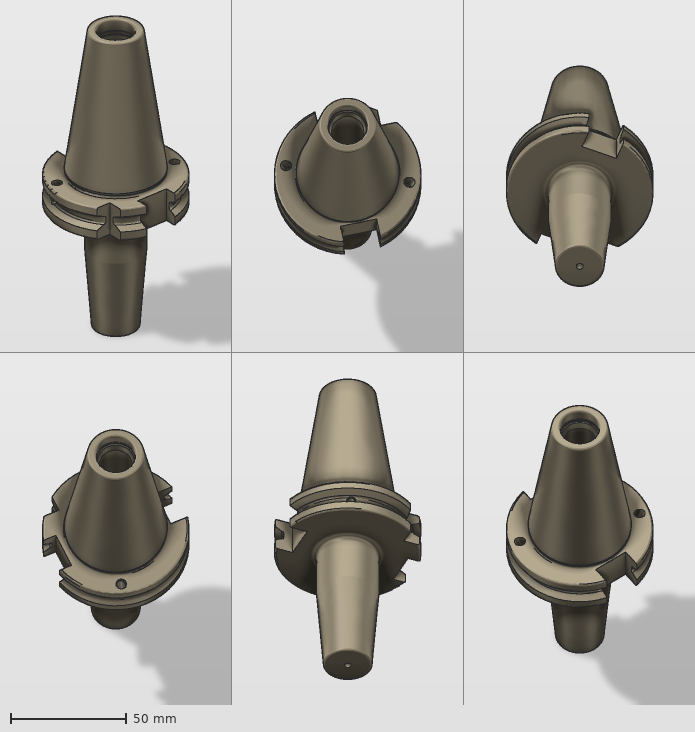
import cadquery as cq
import math


gauge_radius = 22.3
taper_slope = 7 / 48
top_z = 68.4
taper_end_z = -1.0
top_radius = gauge_radius - taper_slope * top_z
taper_end_radius = gauge_radius - taper_slope * taper_end_z
rim_fillet = 1.0

neck_radius = 22.3
relief_top_z = -2.1
relief_radius = 22.0
relief_fillet = 0.7

flange_radius = 31.8
flange_top_z = -3.3
flange_bottom_z = -19.1
flange_fillet = 0.9
groove_floor_radius = 27.9
groove_step_radius = 28.8
groove_center_z = -11.0
groove_floor_height = 4.0
groove_floor_fillet = 0.7
groove_flank_angle = 30
groove_flank_height = (flange_radius - groove_step_radius) * math.tan(math.radians(groove_flank_angle))
groove_floor_half = groove_floor_height / 2
groove_mouth_half = groove_floor_half + groove_flank_height

slot_width = 16.0
left_slot_floor = 22.5
right_slot_floor = 25.0
notch_offset = 18.5

nose_radius = 13.5
nose_root_fillet = 3.0
nose_cone_top_z = -41.4
nose_tip_radius = 10.5
bottom_z = top_z - 148.4
nose_tip_fillet = 1.0

pilot_radius = 8.5
pilot_mouth_fillet = 1.0
pilot_depth = 5.6
undercut_radius = 8.9
undercut_height = 1.8
countersink_radius = 8.2
thread_radius = 7.0
thread_start_depth = 10.0
thread_end_z = -12.2
bore_floor_radius = 2.5
drill_point_angle = 118
through_radius = 1.5

coolant_angles = (70, 250)
radial_hole_radius = 2.1
radial_hole_z = -11.3
face_port_radius = 2.2
face_port_offset = 27.0
face_port_tilt = 20
face_port_length = 8.9


def revolve_profile(profile):
    return profile.close().revolve(360, (0, 0, 0), (0, 1, 0))


def make_outer_body():
    profile = (
        cq.Workplane("XZ")
        .moveTo(0, bottom_z)
        .lineTo(nose_tip_radius, bottom_z)
        .lineTo(nose_radius, nose_cone_top_z)
        .lineTo(nose_radius, flange_bottom_z)
        .lineTo(flange_radius, flange_bottom_z)
        .lineTo(flange_radius, groove_center_z - groove_mouth_half)
        .lineTo(groove_step_radius, groove_center_z - groove_floor_half)
        .lineTo(groove_floor_radius, groove_center_z - groove_floor_half)
        .lineTo(groove_floor_radius, groove_center_z + groove_floor_half)
        .lineTo(groove_step_radius, groove_center_z + groove_floor_half)
        .lineTo(flange_radius, groove_center_z + groove_mouth_half)
        .lineTo(flange_radius, flange_top_z)
        .lineTo(relief_radius, flange_top_z)
        .lineTo(relief_radius, relief_top_z)
        .lineTo(neck_radius, relief_top_z)
        .lineTo(neck_radius, taper_end_z)
        .lineTo(taper_end_radius, taper_end_z)
        .lineTo(top_radius, top_z)
        .lineTo(0, top_z)
    )
    return revolve_profile(profile)


def fillet_circle(body, radius, z, fillet):
    """Round the full circular edge of the given radius at height z."""
    margin = 0.01
    box = cq.selectors.BoxSelector(
        (-radius - margin, -radius - margin, z - margin),
        (radius + margin, radius + margin, z + margin),
        boundingbox=True,
    )
    edges = body.edges(box).edges(cq.selectors.RadiusNthSelector(-1))
    return edges.fillet(fillet)


def round_circular_edges(body):
    rounded_edges = (
        (top_radius, top_z, rim_fillet),
        (relief_radius, flange_top_z, relief_fillet),
        (flange_radius, flange_top_z, flange_fillet),
        (flange_radius, flange_bottom_z, flange_fillet),
        (groove_floor_radius, groove_center_z + groove_floor_half, groove_floor_fillet),
        (groove_floor_radius, groove_center_z - groove_floor_half, groove_floor_fillet),
        (nose_radius, flange_bottom_z, nose_root_fillet),
        (nose_tip_radius, bottom_z, nose_tip_fillet),
    )
    for radius, z, fillet in rounded_edges:
        body = fillet_circle(body, radius, z, fillet)
    return body


def flange_cutter(x_min, x_max, y_min, y_max):
    """Block through the full flange height."""
    height = flange_top_z - flange_bottom_z
    corner = (x_min, y_min, flange_bottom_z)
    block = cq.Workplane("XY").box(x_max - x_min, y_max - y_min, height, centered=False)
    return block.translate(corner)


def cut_flange_openings(body):
    reach = flange_radius + 1.5
    half_slot = slot_width / 2
    body = body.cut(flange_cutter(-reach, -left_slot_floor, -half_slot, half_slot))
    body = body.cut(flange_cutter(right_slot_floor, reach, -half_slot, half_slot))
    return body.cut(flange_cutter(notch_offset, reach, -reach, -notch_offset))


def make_bore():
    """Pilot with a rounded mouth and undercut, countersunk thread hole, drill point and through hole."""
    mouth_z = top_z - pilot_mouth_fillet
    pilot_end_z = top_z - pilot_depth
    undercut_end_z = pilot_end_z - undercut_height
    point_height = (thread_radius - bore_floor_radius) / math.tan(math.radians(drill_point_angle / 2))
    floor_z = thread_end_z - point_height
    arc_inset = pilot_mouth_fillet * (1 - math.sqrt(0.5))
    profile = (
        cq.Workplane("XZ")
        .moveTo(0, top_z)
        .lineTo(pilot_radius + pilot_mouth_fillet, top_z)
        .threePointArc((pilot_radius + arc_inset, top_z - arc_inset), (pilot_radius, mouth_z))
        .lineTo(pilot_radius, pilot_end_z)
        .lineTo(undercut_radius, pilot_end_z)
        .lineTo(undercut_radius, undercut_end_z)
        .lineTo(countersink_radius, undercut_end_z)
        .lineTo(thread_radius, top_z - thread_start_depth)
        .lineTo(thread_radius, thread_end_z)
        .lineTo(bore_floor_radius, floor_z)
        .lineTo(through_radius, floor_z)
        .lineTo(through_radius, bottom_z)
        .lineTo(0, bottom_z)
    )
    return revolve_profile(profile)


def make_coolant_passage(angle):
    """Radial hole from the groove into the bore, fed by a slanted hole from the flange face."""
    radial = cq.Solid.makeCylinder(
        radial_hole_radius, flange_radius, cq.Vector(0, 0, radial_hole_z), cq.Vector(1, 0, 0)
    )
    tilt = math.radians(face_port_tilt)
    lean = cq.Vector(-math.sin(tilt), 0, -math.cos(tilt))
    lead_in = 1.5
    start = cq.Vector(face_port_offset, 0, flange_top_z) - lean * lead_in
    face_port = cq.Solid.makeCylinder(face_port_radius, face_port_length + lead_in, start, lean)
    return cq.Workplane(obj=radial.fuse(face_port)).rotate((0, 0, 0), (0, 0, 1), angle)


result = round_circular_edges(make_outer_body())
result = cut_flange_openings(result)
result = result.cut(make_bore())
for coolant_angle in coolant_angles:
    result = result.cut(make_coolant_passage(coolant_angle))